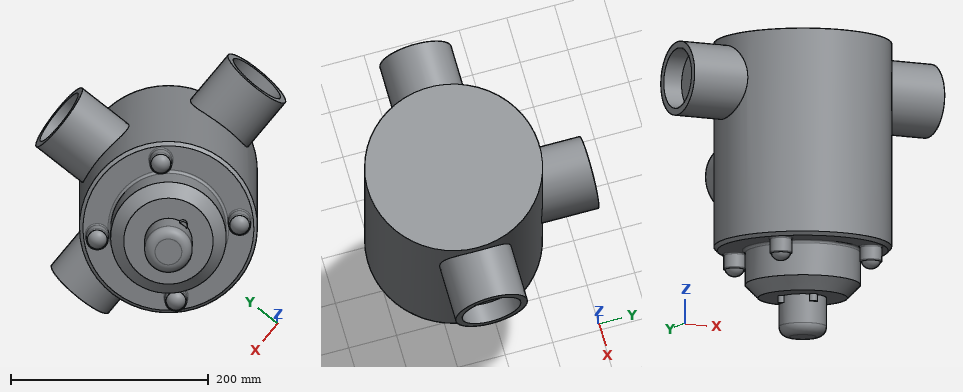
import cadquery as cq

TOTAL_HEIGHT = 301.0
BODY_RADIUS = 90.0
BODY_BOTTOM = 88.8
BODY_CHAMFER = 3.5

COLLAR_RADIUS = 58.5
COLLAR_BOTTOM = 40.0
COLLAR_CHAMFER = 13.2
COLLAR_ROOT_FILLET = 2.7

SHAFT_RADIUS = 24.0
SHAFT_FILLET = 10.5
PIN_RADIUS = 4.5
PIN_OFFSET = 23.2
PIN_BOTTOM = 32.8

BOLT_RADIUS = 11.0
BOLT_OFFSET = 51.2
BOLT_BOTTOM = 66.0
BOLT_SHOULDER = 73.0
BOLT_FILLET = 1.2

NOZZLE_REACH = 142.0
NOZZLE_RADIUS = 37.5
BORE_RADIUS = 30.7
BORE_DEPTH = 20.2
SIDE_NOZZLE_HEIGHT = 254.0
REAR_NOZZLE_HEIGHT = 184.5


def upright_cylinder(radius, bottom, top, x=0, y=0):
    return cq.Workplane("XY", origin=(x, y, bottom)).circle(radius).extrude(top - bottom)


def radial_cylinder(radius, start, length, height, direction):
    """Horizontal cylinder running outward from the Z axis, beginning at distance start."""
    dx, dy = direction
    plane = cq.Plane(origin=(dx * start, dy * start, height), xDir=(0, 0, 1), normal=(dx, dy, 0))
    return cq.Workplane(plane).circle(radius).extrude(length)


def bolt_head(x, y):
    """Round head with a filleted shoulder, a domed tip and a fillet where it meets the body."""
    dome_radius = BOLT_RADIUS - BOLT_FILLET
    dome_height = BOLT_SHOULDER - BOLT_BOTTOM
    sphere_radius = (dome_radius**2 + dome_height**2) / (2 * dome_height)
    profile = (
        cq.Workplane("XZ", origin=(x, y, 0))
        .moveTo(0, BODY_BOTTOM)
        .lineTo(BOLT_RADIUS + BOLT_FILLET, BODY_BOTTOM)
        .radiusArc((BOLT_RADIUS, BODY_BOTTOM - BOLT_FILLET), -BOLT_FILLET)
        .lineTo(BOLT_RADIUS, BOLT_SHOULDER + BOLT_FILLET)
        .radiusArc((dome_radius, BOLT_SHOULDER), BOLT_FILLET)
        .radiusArc((0, BOLT_BOTTOM), sphere_radius)
        .close()
    )
    return profile.revolve(360, (0, 0), (0, 1))


result = upright_cylinder(BODY_RADIUS, BODY_BOTTOM, TOTAL_HEIGHT).faces("<Z").chamfer(BODY_CHAMFER)

collar = upright_cylinder(COLLAR_RADIUS, COLLAR_BOTTOM, BODY_BOTTOM).faces("<Z").chamfer(COLLAR_CHAMFER)
collar_root = (
    cq.Workplane("XZ", origin=(0, 0, BODY_BOTTOM))
    .lineTo(COLLAR_RADIUS + COLLAR_ROOT_FILLET, 0)
    .radiusArc((COLLAR_RADIUS, -COLLAR_ROOT_FILLET), -COLLAR_ROOT_FILLET)
    .lineTo(0, -COLLAR_ROOT_FILLET)
    .close()
    .revolve(360, (0, 0), (0, 1))
)
result = result.union(collar).union(collar_root)

shaft = upright_cylinder(SHAFT_RADIUS, 0, COLLAR_BOTTOM).faces("<Z").edges().fillet(SHAFT_FILLET)
result = result.union(shaft)
for x, y in [(-PIN_OFFSET, 0), (0, -PIN_OFFSET)]:
    result = result.union(upright_cylinder(PIN_RADIUS, PIN_BOTTOM, COLLAR_BOTTOM, x, y))

for x in (-BOLT_OFFSET, BOLT_OFFSET):
    for y in (-BOLT_OFFSET, BOLT_OFFSET):
        result = result.union(bolt_head(x, y))

for height, direction in [
    (SIDE_NOZZLE_HEIGHT, (-1, 0)),
    (SIDE_NOZZLE_HEIGHT, (1, 0)),
    (REAR_NOZZLE_HEIGHT, (0, 1)),
]:
    nozzle = radial_cylinder(NOZZLE_RADIUS, 0, NOZZLE_REACH, height, direction)
    bore = radial_cylinder(BORE_RADIUS, NOZZLE_REACH - BORE_DEPTH, BORE_DEPTH, height, direction)
    result = result.union(nozzle).cut(bore)